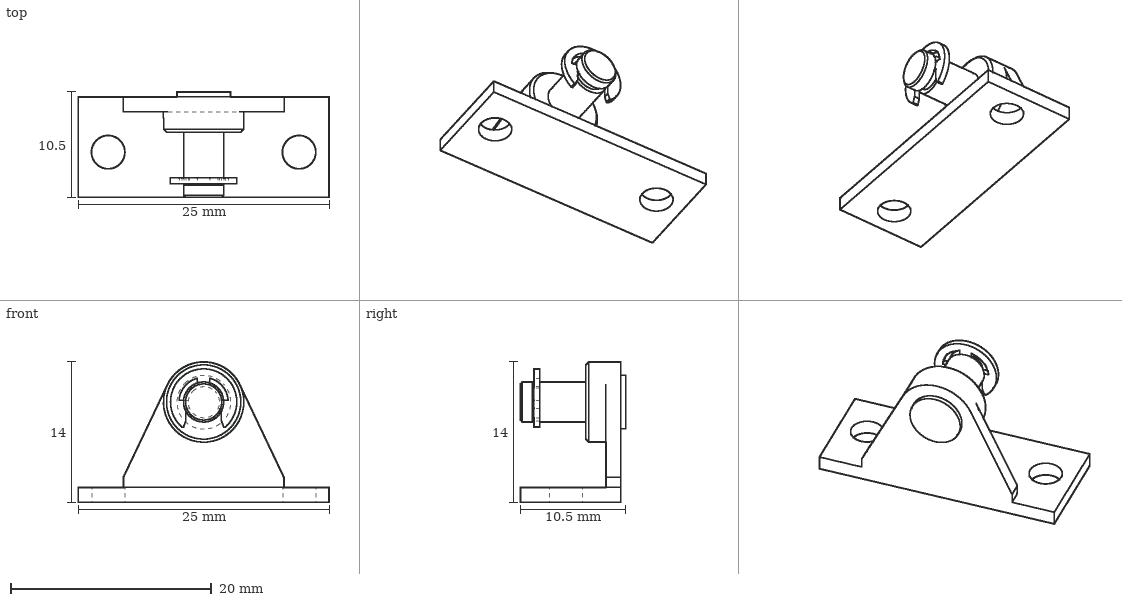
import cadquery as cq
import math

base_length = 25.0
base_depth = 10.0
sheet_thickness = 1.5
hole_diameter = 3.3
hole_offset_x = 9.5
hole_y = -5.5

lug_half_width = 8.0
lug_shoulder_z = 2.5
lug_radius = 4.0
axis_z = 10.0

rivet_radius = 2.68
rivet_height = 0.5
collar_end = 3.5
collar_chamfer = 0.3
pin_radius = 2.0
pin_end = base_depth
pin_chamfer = 0.2
groove_radius = 1.55
groove_start = 8.05
groove_end = 8.8

clip_thickness = 0.6
clip_radius = 3.3
relief_radius = 2.45
relief_bottom = 0.18
tab_half_width = 0.62
mouth_half_width = 1.78
mouth_top = -0.62
flare_start = -1.88
flare_half_width = 2.0
tip_level = -2.5


def axis_plane(distance):
    """Sketch plane facing -Y, centred on the pin axis, the given distance forward."""
    return cq.Workplane("XZ", origin=(0, -distance, axis_z))


def disc(radius, start, end):
    """Cylinder on the pin axis between two forward distances."""
    return axis_plane(start).circle(radius).extrude(end - start)


def make_base():
    plate = cq.Workplane("XY").box(base_length, base_depth, sheet_thickness, centered=(True, False, False))
    plate = plate.translate((0, -base_depth, 0))
    hole_places = [(-hole_offset_x, hole_y), (hole_offset_x, hole_y)]
    holes = cq.Workplane("XY").pushPoints(hole_places).circle(hole_diameter / 2).extrude(sheet_thickness)
    return plate.cut(holes)


def make_lug():
    shoulder_drop = axis_z - lug_shoulder_z
    shoulder_distance = math.hypot(lug_half_width, shoulder_drop)
    tangent_angle = math.acos(lug_radius / shoulder_distance) - math.atan2(shoulder_drop, lug_half_width)
    tangent_x = lug_radius * math.cos(tangent_angle)
    tangent_z = axis_z + lug_radius * math.sin(tangent_angle)
    return (
        cq.Workplane("XZ")
        .moveTo(-lug_half_width, sheet_thickness)
        .lineTo(lug_half_width, sheet_thickness)
        .lineTo(lug_half_width, lug_shoulder_z)
        .lineTo(tangent_x, tangent_z)
        .threePointArc((0, axis_z + lug_radius), (-tangent_x, tangent_z))
        .lineTo(-lug_half_width, lug_shoulder_z)
        .close()
        .extrude(sheet_thickness)
    )


def make_pin():
    rivet = disc(rivet_radius, -rivet_height, 0)
    collar = disc(lug_radius, sheet_thickness, collar_end).faces("<Y").chamfer(collar_chamfer)
    shank = disc(pin_radius, 0, pin_end).faces("<Y").chamfer(pin_chamfer)
    groove = disc(pin_radius, groove_start, groove_end).cut(disc(groove_radius, groove_start, groove_end))
    return rivet, collar, shank.cut(groove)


def make_bracket():
    """Base plate, lug and fixed pin as one solid."""
    bracket = make_base().union(make_lug())
    for section in make_pin():
        bracket = bracket.union(section)
    return bracket


def make_clip():
    """E-shaped clip that seats on the floor of the pin groove."""
    sketch = axis_plane(groove_start)
    clip_end = groove_start + clip_thickness
    ring = disc(clip_radius, groove_start, clip_end).cut(disc(groove_radius, groove_start, clip_end))

    relief = disc(relief_radius, groove_start, clip_end)
    pocket_width = relief_radius - tab_half_width
    pocket_height = relief_radius - relief_bottom
    pocket_x = tab_half_width + pocket_width / 2
    pocket_z = relief_bottom + pocket_height / 2
    pockets = (
        sketch.pushPoints([(-pocket_x, pocket_z), (pocket_x, pocket_z)])
        .rect(pocket_width, pocket_height)
        .extrude(clip_thickness)
    )

    mouth = (
        sketch.moveTo(-mouth_half_width, mouth_top)
        .lineTo(mouth_half_width, mouth_top)
        .lineTo(mouth_half_width, flare_start)
        .lineTo(flare_half_width, tip_level)
        .lineTo(-flare_half_width, tip_level)
        .lineTo(-mouth_half_width, flare_start)
        .close()
        .extrude(clip_thickness)
    )

    below_tips = (
        sketch.center(0, (tip_level - clip_radius) / 2)
        .rect(2 * clip_radius, clip_radius + tip_level)
        .extrude(clip_thickness)
    )
    return ring.cut(relief.intersect(pockets)).cut(mouth).cut(below_tips)


bracket = make_bracket()
clip = make_clip()
result = cq.Compound.makeCompound([bracket.val(), clip.val()])